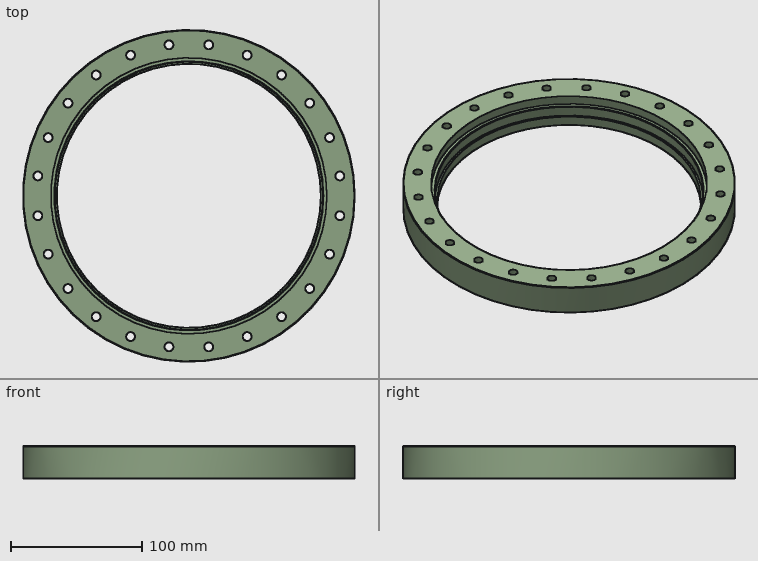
import cadquery as cq

outer_diameter = 253.0
height = 25.0
rim_chamfer = 0.5

lip_bore = 210.2
lip_height = 7.5
insert_seat_diameter = 223.0

bolt_count = 24
bolt_circle_diameter = 232.0
bolt_hole_diameter = 6.5

insert_diameter = 222.1
seat_depth = height - lip_height
bottom_recess = 0.5
insert_bore = 201.0
upper_bore = 204.2
upper_bore_depth = 8.9
mouth_chamfer = 0.5


def make_outer_ring():
    """Chamfered ring with a stepped bore and a circle of through holes."""
    ring = cq.Workplane("XY").circle(outer_diameter / 2).extrude(height)
    ring = ring.edges().chamfer(rim_chamfer)

    lip_opening = cq.Workplane("XY").circle(lip_bore / 2).extrude(height)
    insert_seat = cq.Workplane("XY").circle(insert_seat_diameter / 2).extrude(seat_depth)

    half_pitch = 360 / bolt_count / 2
    bolt_holes = (
        cq.Workplane("XY")
        .polarArray(bolt_circle_diameter / 2, half_pitch, 360, bolt_count)
        .circle(bolt_hole_diameter / 2)
        .extrude(height)
    )
    return ring.cut(lip_opening).cut(insert_seat).cut(bolt_holes)


def make_insert():
    """Ring set slightly above the flange bottom, with a stepped bore and chamfered mouth."""
    bore_radius = insert_bore / 2
    upper_radius = upper_bore / 2
    outer_radius = insert_diameter / 2
    shoulder_z = seat_depth - upper_bore_depth
    section = (
        cq.Workplane("XZ")
        .moveTo(bore_radius, bottom_recess)
        .lineTo(outer_radius, bottom_recess)
        .lineTo(outer_radius, seat_depth)
        .lineTo(upper_radius + mouth_chamfer, seat_depth)
        .lineTo(upper_radius, seat_depth - mouth_chamfer)
        .lineTo(upper_radius, shoulder_z)
        .lineTo(bore_radius, shoulder_z)
        .close()
    )
    return section.revolve(360, (0, 0, 0), (0, 1, 0))


outer_ring = make_outer_ring()
insert = make_insert()
result = cq.Compound.makeCompound([outer_ring.solids().val(), insert.solids().val()])